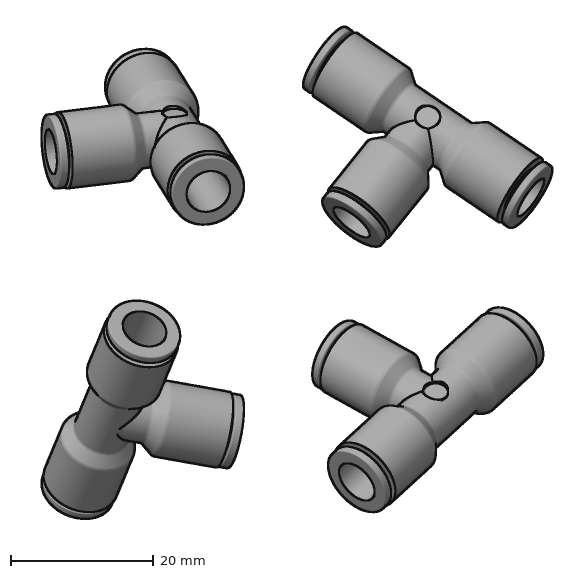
import cadquery as cq

arm_length = 18.0

collar_radius = 5.25
collar_width = 1.25
collar_edge_round = 0.2
neck_radius = 3.75
run_sleeve_setback = 1.87
branch_sleeve_setback = 1.7
sleeve_diameter = 10.85
sleeve_radius = sleeve_diameter / 2
run_shoulder = 6.88
branch_shoulder = 7.1
taper_length = 1.87
shoulder_round = 0.72
root_round = 0.58

run_radius = 4.0
branch_radius = 3.9
bore_radius = 3.17

label_radius = 1.75
label_floor = 3.5


def revolved_profile(points):
    """Revolve (distance along arm, radius) points about the X axis."""
    return cq.Workplane("XY").polyline(points).close().revolve(360, (0, 0, 0), (1, 0, 0))


def ring_edge(distance, radius):
    """Selector box around the circular edge at a given distance along the arm."""
    margin = 0.05
    reach = radius + margin
    return cq.selectors.BoxSelector(
        (distance - margin, -reach, -reach),
        (distance + margin, reach, reach),
        boundingbox=True,
    )


def make_arm(core_radius, shoulder, sleeve_setback):
    """Solid arm pointing along +X from the tee centre."""
    sleeve_end = arm_length - sleeve_setback
    taper_end = shoulder - taper_length
    body = revolved_profile([
        (0, 0),
        (0, core_radius),
        (taper_end, core_radius),
        (shoulder, sleeve_radius),
        (sleeve_end, sleeve_radius),
        (sleeve_end, 0),
    ])
    body = body.edges(ring_edge(shoulder, sleeve_radius)).fillet(shoulder_round)
    body = body.edges(ring_edge(taper_end, core_radius)).fillet(root_round)

    neck = cq.Workplane("YZ").workplane(offset=sleeve_end).circle(neck_radius).extrude(sleeve_setback)
    collar = (
        cq.Workplane("YZ")
        .workplane(offset=arm_length - collar_width)
        .circle(collar_radius)
        .extrude(collar_width)
        .edges()
        .fillet(collar_edge_round)
    )
    return body.union(neck).union(collar)


def make_bore():
    """Tube passage pointing along +X from the tee centre."""
    return cq.Workplane("YZ").circle(bore_radius).extrude(arm_length)


def turned(shape, angle):
    """Turn an arm about the vertical axis through the tee centre."""
    return shape.rotate((0, 0, 0), (0, 0, 1), angle)


run_angles = (0, 180)
branch_angle = -90

result = turned(make_arm(branch_radius, branch_shoulder, branch_sleeve_setback), branch_angle)
for angle in run_angles:
    result = result.union(turned(make_arm(run_radius, run_shoulder, run_sleeve_setback), angle))

for angle in (*run_angles, branch_angle):
    result = result.cut(turned(make_bore(), angle))

label_recess = (
    cq.Workplane("XY").workplane(offset=label_floor).circle(label_radius).extrude(sleeve_radius - label_floor)
)
result = result.cut(label_recess)